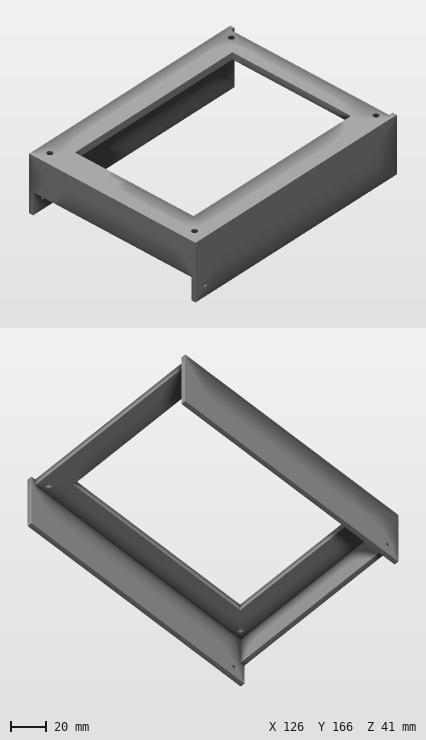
import cadquery as cq

width = 126.0
depth = 166.0
height = 41.0

wall = 3.0
front_wall_height = 25.0
side_hole_diameter = 2.8
side_hole_inset = 8.0
side_hole_height = 8.0

plate_thickness = 5.0
frame_border = 15.1
corner_hole_diameter = 4.0
corner_hole_inset = 8.1

inner_width = width - 2 * wall
plate_depth = depth - 2 * wall


def box_from(x, y, z, size_x, size_y, size_z):
    """Box whose minimum corner is at (x, y, z)."""
    return cq.Workplane("XY").box(size_x, size_y, size_z, centered=False).translate((x, y, z))


def make_housing():
    """Walls open at the bottom and rear, with a small hole across both sides."""
    left_wall = box_from(-width / 2, -depth / 2, 0, wall, depth, height)
    right_wall = box_from(width / 2 - wall, -depth / 2, 0, wall, depth, height)
    front_wall = box_from(
        -width / 2, -depth / 2, height - front_wall_height, width, wall, front_wall_height
    )
    side_hole = (
        cq.Workplane("YZ", origin=(-width / 2, 0, 0))
        .center(-depth / 2 + side_hole_inset, side_hole_height)
        .circle(side_hole_diameter / 2)
        .extrude(width)
    )
    return left_wall.union(right_wall).union(front_wall).cut(side_hole)


def make_frame_plate():
    """Rectangular frame with a screw hole in each corner."""
    bottom = height - plate_thickness
    plate = cq.Workplane("XY", origin=(0, 0, bottom)).rect(inner_width, plate_depth).extrude(plate_thickness)
    opening = (
        cq.Workplane("XY", origin=(0, 0, bottom))
        .rect(inner_width - 2 * frame_border, plate_depth - 2 * frame_border)
        .extrude(plate_thickness)
    )
    corner_holes = (
        cq.Workplane("XY", origin=(0, 0, bottom))
        .rect(width - 2 * corner_hole_inset, depth - 2 * corner_hole_inset, forConstruction=True)
        .vertices()
        .circle(corner_hole_diameter / 2)
        .extrude(plate_thickness)
    )
    return plate.cut(opening).cut(corner_holes)


housing = make_housing()
frame_plate = make_frame_plate()

result = cq.Compound.makeCompound([housing.val(), frame_plate.val()])